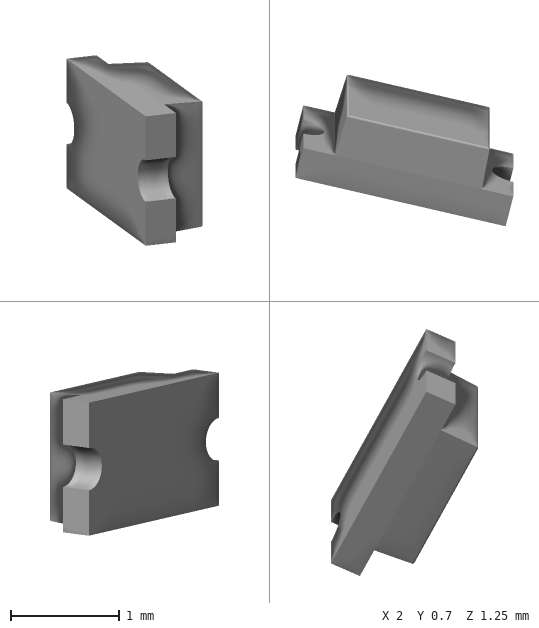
import cadquery as cq
import math


LENGTH = 2.0
WIDTH = 1.25
TOTAL_DEPTH = 0.7
BOARD_DEPTH = 0.3
NOTCH_RADIUS = 0.2

LENS_LENGTH = 1.4
LENS_DEPTH = TOTAL_DEPTH - BOARD_DEPTH
LENS_DRAFT = 3.0
LENS_ROUNDING = 0.02

INLAY_DEPTH = 0.05
PAD_LENGTH = 0.4
PAD_WIDTH = 1.0
PLATING_WALL = 0.15
PLATING_RADIUS = NOTCH_RADIUS + PLATING_WALL

MARK_LENGTH = PAD_LENGTH
MARK_GAP = 0.05
MARK_WIDTH = WIDTH / 2 - PLATING_RADIUS - MARK_GAP

ARROW_SIDE = 0.35
ARROW_TIP_X = -0.15
ARROW_ROUNDING = 0.02

FRONT_Y = -TOTAL_DEPTH / 2
BOARD_BACK_Y = FRONT_Y + BOARD_DEPTH
END_X = LENGTH / 2


def block(length, depth, width, center_x, front_y, center_z):
    """Box centred in X and Z, reaching back from front_y."""
    box = cq.Workplane("XY").box(length, depth, width, centered=(True, False, True))
    return box.translate((center_x, front_y, center_z))


def end_cylinder(side, radius):
    """Cylinder through the board, its axis on the middle of one end."""
    axis_plane = cq.Plane(origin=(side * END_X, BOARD_BACK_Y, 0), xDir=(1, 0, 0), normal=(0, -1, 0))
    return cq.Workplane(axis_plane).circle(radius).extrude(BOARD_DEPTH)


def board_blank():
    return block(LENGTH, BOARD_DEPTH, WIDTH, 0, FRONT_Y, 0)


def make_pad(side):
    """Flat solder pad at one end, with the end notch cut out."""
    center_x = side * (END_X - PAD_LENGTH / 2)
    pad = block(PAD_LENGTH, INLAY_DEPTH, PAD_WIDTH, center_x, FRONT_Y, 0)
    return pad.cut(end_cylinder(side, NOTCH_RADIUS))


def make_plated_terminal(side):
    """Solder pad joined to a half ring that lines the notch through the board."""
    ring = end_cylinder(side, PLATING_RADIUS).cut(end_cylinder(side, NOTCH_RADIUS))
    half_ring = ring.intersect(board_blank())
    return make_pad(side).union(half_ring).clean()


def make_mark(side_z):
    """Thin rectangular mark in one back corner of the left end."""
    center_x = -END_X + MARK_LENGTH / 2
    center_z = side_z * (WIDTH - MARK_WIDTH) / 2
    return block(MARK_LENGTH, INLAY_DEPTH, MARK_WIDTH, center_x, BOARD_BACK_Y - INLAY_DEPTH, center_z)


def make_arrow():
    """Rounded triangular inlay in the solder face."""
    base_x = ARROW_TIP_X + ARROW_SIDE * math.sqrt(3) / 2
    corners = [(ARROW_TIP_X, 0), (base_x, -ARROW_SIDE / 2), (base_x, ARROW_SIDE / 2)]
    arrow = cq.Workplane("XZ", origin=(0, FRONT_Y, 0)).polyline(corners).close().extrude(-INLAY_DEPTH)
    return arrow.edges("|Y").fillet(ARROW_ROUNDING)


def make_lens():
    """Tapered block on the back of the board with a rounded rim."""
    base = cq.Workplane("XZ", origin=(0, BOARD_BACK_Y, 0)).rect(LENS_LENGTH, WIDTH)
    lens = base.extrude(-LENS_DEPTH, taper=LENS_DRAFT)
    return lens.faces(">Y").edges().fillet(LENS_ROUNDING)


def make_board(inlays):
    """Board with both end notches and a matching recess for each inlay."""
    board = board_blank()
    for side in (-1, 1):
        board = board.cut(end_cylinder(side, NOTCH_RADIUS))
    for inlay in inlays:
        board = board.cut(inlay)
    return board


plated_terminal = make_plated_terminal(-1)
right_pad = make_pad(1)
arrow = make_arrow()
marks = [make_mark(side_z) for side_z in (-1, 1)]
lens = make_lens()
board = make_board([plated_terminal, right_pad, arrow, *marks])

result = cq.Compound.makeCompound([
    board.val(),
    lens.val(),
    plated_terminal.val(),
    right_pad.val(),
    arrow.val(),
    *[mark.val() for mark in marks],
])